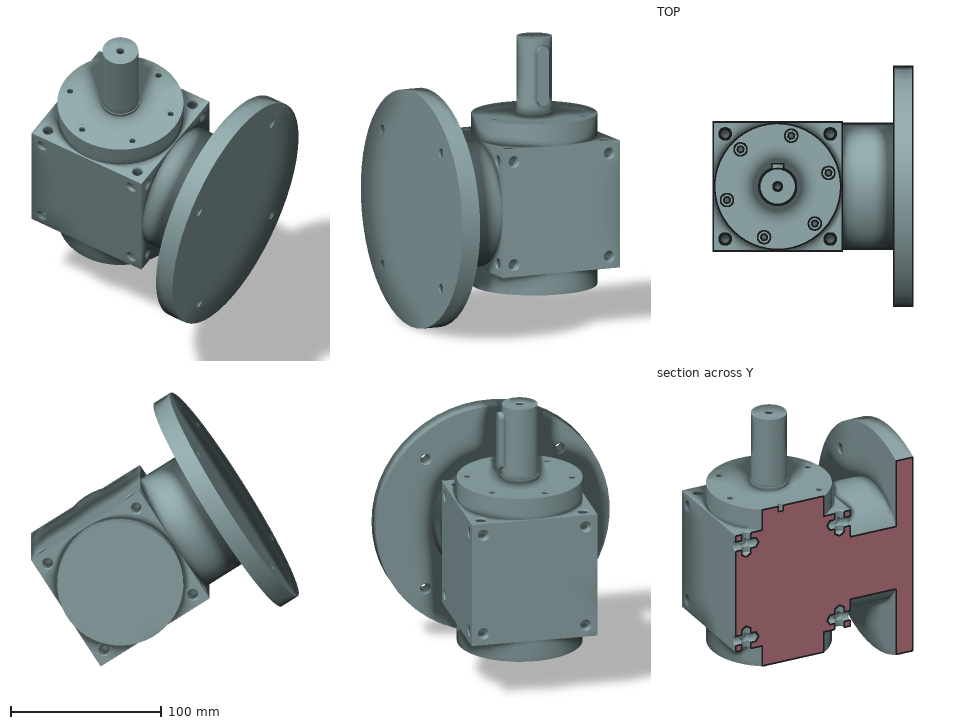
import cadquery as cq
import math


case_side = 86.0
case_half = case_side / 2
cover_diameter = 84.0
cover_half_height = 58.0

flange_face_x = 90.0
flange_diameter = 160.0
flange_thickness = 13.0
flange_bolt_circle = 130.0
flange_bolt_count = 4

thread_diameter = 6.6
countersink_diameter = 8.0
countersink_angle = 90
case_hole_spacing = 70.0
case_hole_depth = 15.2
drill_tip_angle = 118

screw_count = 6
screw_circle = 70.0
screw_start_angle = 15
screw_head_diameter = 8.5
screw_head_recess = 0.1
socket_corner_diameter = 4.5
socket_sides = 6
socket_depth = 3.8

shaft_diameter = 24.0
shaft_top_z = 110.0
collar_diameter = 25.0
collar_top_z = 60.0
centre_hole_diameter = 5.0
centre_hole_countersink = 6.0
centre_hole_depth = 11.4

key_width = 8.0
key_length = 40.0
key_height = 7.0
key_outer_y = 15.0
key_end_gap = 5.0


def cone_height(diameter, included_angle):
    """Height of a cone from its base diameter and its included angle in degrees."""
    return diameter / 2 / math.tan(math.radians(included_angle / 2))


def hole_cutter(diameter, mouth_diameter, depth):
    """Countersunk drilled hole with its mouth at the origin, going down along -Z."""
    mouth_depth = cone_height(mouth_diameter - diameter, countersink_angle)
    tip_depth = depth + cone_height(diameter, drill_tip_angle)
    half_profile = [
        (0, 0),
        (mouth_diameter / 2, 0),
        (diameter / 2, -mouth_depth),
        (diameter / 2, -depth),
        (0, -tip_depth),
    ]
    return cq.Workplane("XZ").polyline(half_profile).close().revolve(360, (0, 0), (0, 1))


def face_hole_pattern():
    """The four corner holes of the upper case face."""
    hole = hole_cutter(thread_diameter, countersink_diameter, case_hole_depth).val()
    return (
        cq.Workplane("XY", origin=(0, 0, case_half))
        .rect(case_hole_spacing, case_hole_spacing, forConstruction=True)
        .vertices()
        .eachpoint(hole, combine=False, useLocalCoordinates=True)
    )


def cut_case_holes(body):
    """Cut the corner holes into all six faces of the case."""
    pattern = face_hole_pattern()
    for angle in (0, 90, 180, 270):
        body = body.cut(pattern.rotate((0, 0, 0), (1, 0, 0), angle))
    for angle in (90, -90):
        body = body.cut(pattern.rotate((0, 0, 0), (0, 1, 0), angle))
    return body


def cut_flange_holes(body):
    """Drill the flange through and countersink the holes on the case side."""
    through_depth = 2 * flange_thickness
    hole = hole_cutter(thread_diameter, countersink_diameter, through_depth)
    hole = hole.rotate((0, 0, 0), (0, 1, 0), -90)
    hole = hole.translate((flange_face_x - flange_thickness, 0, flange_bolt_circle / 2))
    for index in range(flange_bolt_count):
        angle = (index + 0.5) * 360 / flange_bolt_count
        body = body.cut(hole.rotate((0, 0, 0), (1, 0, 0), angle))
    return body


def cut_cover_screws(body):
    """Recess the screw heads in the upper cover, each with a hexagon socket."""
    head_z = cover_half_height - screw_head_recess
    head = (
        cq.Workplane("XY", origin=(screw_circle / 2, 0, head_z))
        .circle(screw_head_diameter / 2)
        .extrude(screw_head_recess)
    )
    socket = (
        cq.Workplane("XY", origin=(screw_circle / 2, 0, head_z))
        .polygon(socket_sides, socket_corner_diameter)
        .extrude(-socket_depth)
    )
    screw = head.union(socket)
    for index in range(screw_count):
        angle = screw_start_angle + index * 360 / screw_count
        body = body.cut(screw.rotate((0, 0, 0), (0, 0, 1), angle))
    return body


def make_housing():
    """Gear case with its two covers, the motor neck and the motor flange."""
    case = cq.Workplane("XY").box(case_side, case_side, case_side)
    covers = cq.Workplane("XY").circle(cover_diameter / 2).extrude(cover_half_height, both=True)
    case = cut_case_holes(case.union(covers))
    neck = (
        cq.Workplane("YZ", origin=(case_half, 0, 0))
        .circle(cover_diameter / 2)
        .extrude(flange_face_x - case_half)
    )
    flange = (
        cq.Workplane("YZ", origin=(flange_face_x, 0, 0))
        .circle(flange_diameter / 2)
        .extrude(-flange_thickness)
    )
    body = case.union(neck).union(flange)
    body = cut_flange_holes(body)
    return cut_cover_screws(body)


def make_key():
    """Round-ended parallel key."""
    middle_z = shaft_top_z - key_end_gap - key_length / 2
    return (
        cq.Workplane("XZ", origin=(0, key_outer_y, middle_z))
        .slot2D(key_length, key_width, 90)
        .extrude(key_height)
    )


def make_shaft(key):
    """Shaft standing on the upper cover, with its collar, keyway and centre hole."""
    collar = (
        cq.Workplane("XY", origin=(0, 0, cover_half_height))
        .circle(collar_diameter / 2)
        .extrude(collar_top_z - cover_half_height)
    )
    journal = (
        cq.Workplane("XY", origin=(0, 0, collar_top_z))
        .circle(shaft_diameter / 2)
        .extrude(shaft_top_z - collar_top_z)
    )
    centre_hole = hole_cutter(centre_hole_diameter, centre_hole_countersink, centre_hole_depth)
    centre_hole = centre_hole.translate((0, 0, shaft_top_z))
    return collar.union(journal).cut(centre_hole).cut(key)


housing = make_housing()
key = make_key()
shaft = make_shaft(key)

result = cq.Compound.makeCompound([housing.val(), shaft.val(), key.val()])